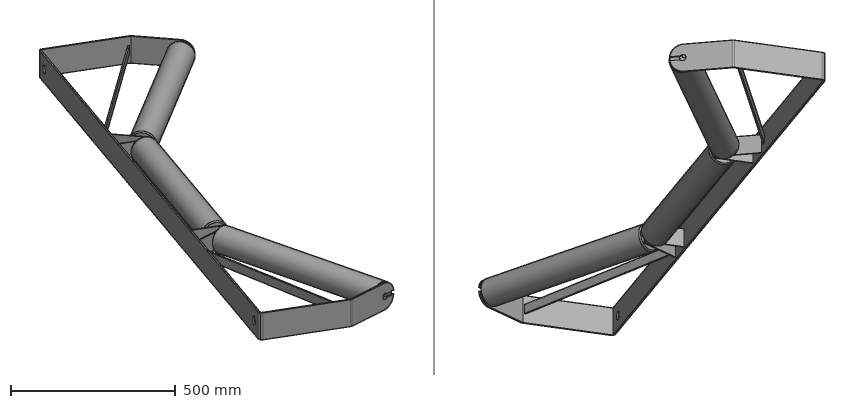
import cadquery as cq
import math

frame_width = 2000.0
frame_depth = 467.45
strip_height = 90.0
strip_thickness = 6.0
bend_radius = 12.0
lean = 30.0
knee_y = 296.0

roller_diameter = 89.0
roller_length = 644.0
roller_chamfer = 4.0
shaft_diameter = 20.0
end_gap = 3.0

side_seat = 157.0
center_axis_y = 99.5
roller_overhang = 5.84
lowest_z = -strip_height / 2 - roller_overhang
inner_axis_z = lowest_z + roller_diameter / 2

bracket_height = 60.0
bracket_thickness = 4.0
bracket_top_y = 129.0

brace_height = 30.0
brace_thickness = 5.0
brace_top_y = 290.0
brace_foot_x = 424.0

arm_slot_width = 13.0
mount_slot_x = 950.0
mount_slot_width = 20.0
mount_slot_height = 28.0

half_width = frame_width / 2
sin_lean = math.sin(math.radians(lean))
cos_lean = math.cos(math.radians(lean))
tip_radius = strip_height / 2
tip_loss = tip_radius - math.sqrt(tip_radius ** 2 - (arm_slot_width / 2) ** 2)
arm_length = (frame_depth - knee_y) / cos_lean + tip_loss
arm_to_tube = strip_thickness + end_gap
bracket_to_tube = bracket_thickness + end_gap
side_shaft_length = arm_to_tube + roller_length + bracket_to_tube
bracket_inner_x = roller_length / 2 + end_gap
side_drop = math.degrees(math.asin(-inner_axis_z / side_shaft_length))


def beside_arm(inset, along):
    """Plan point a distance in from the left arm's outer face and a distance along it from the knee."""
    x = -half_width + inset * cos_lean + along * sin_lean
    y = knee_y - inset * sin_lean + along * cos_lean
    return x, y


def beside_arm_at(inset, y):
    """Plan point at a given y on the line parallel to the left arm, a distance in from its outer face."""
    along = (y - knee_y + inset * sin_lean) / cos_lean
    return beside_arm(inset, along)


def on_edge(outline, height):
    """Bar standing on edge: a plan outline given height, half above and half below z = 0."""
    return cq.Workplane("XY").polyline(outline).close().extrude(height / 2, both=True)


def mirrored(body):
    """Copy of a left-hand body on the right-hand side."""
    return body.mirror("YZ")


def make_roller(outer_stub, inner_stub):
    """Roller along X with its tube starting at x = 0 and a shaft stub standing out at each end."""
    tube = cq.Workplane("YZ").circle(roller_diameter / 2).extrude(roller_length)
    tube = tube.faces("<X or >X").chamfer(roller_chamfer)
    shaft = cq.Workplane("YZ").workplane(offset=-outer_stub).circle(shaft_diameter / 2)
    return tube.union(shaft.extrude(outer_stub + roller_length + inner_stub))


def make_center_roller():
    roller = make_roller(bracket_to_tube, bracket_to_tube)
    return roller.translate((-roller_length / 2, center_axis_y, inner_axis_z))


def make_left_roller():
    """Side roller square to the arm, dropping towards the inner bracket."""
    seat_x, seat_y = beside_arm(0, side_seat)
    roller = make_roller(arm_to_tube, bracket_to_tube).translate((arm_to_tube, 0, 0))
    roller = roller.rotate((0, 0, 0), (0, 1, 0), side_drop)
    roller = roller.rotate((0, 0, 0), (0, 0, 1), -lean)
    return roller.translate((seat_x, seat_y, 0))


def on_arm(along):
    """Workplane on the left arm's outer face: x runs up the arm, the normal points inward."""
    plane = cq.Plane(origin=(-half_width, knee_y, 0), xDir=(sin_lean, cos_lean, 0),
                     normal=(cos_lean, -sin_lean, 0))
    return cq.Workplane(plane).center(along, 0)


def make_bent_strip():
    """Left half of the frame strip with its outer bends rounded."""
    t = strip_thickness
    inner_knee_y = knee_y - t * math.tan(math.radians(lean / 2))
    outline = [(0, 0), (-half_width, 0), (-half_width, knee_y),
               beside_arm(0, arm_length), beside_arm(t, arm_length),
               (-half_width + t, inner_knee_y), (-half_width + t, t), (0, t)]
    bent = on_edge(outline, strip_height)
    for bend_y in (0, knee_y):
        bend = cq.selectors.NearestToPointSelector((-half_width, bend_y, 0))
        bent = bent.edges("|Z").edges(bend).fillet(bend_radius)
    return bent


def arm_tip_waste():
    """Material outside the arm's fully rounded tip."""
    square_tip = on_arm(arm_length - tip_radius / 2).rect(tip_radius, strip_height).extrude(strip_thickness)
    return square_tip.cut(on_arm(arm_length - tip_radius).circle(tip_radius).extrude(strip_thickness))


def arm_slot():
    """Slot from the roller seat out through the arm tip."""
    length = arm_length - side_seat
    return on_arm(side_seat + length / 2).rect(length, arm_slot_width).extrude(strip_thickness)


def mount_slot():
    slot = cq.Workplane("XZ").center(-mount_slot_x, 0).slot2D(mount_slot_height, mount_slot_width, 90)
    return slot.extrude(-strip_thickness)


def make_frame(side_roller):
    half = make_bent_strip().cut(arm_tip_waste()).cut(arm_slot()).cut(mount_slot()).cut(side_roller)
    return half.union(mirrored(half))


def make_left_bracket(side_roller, middle_roller):
    """Folded bracket standing on the base, with holes for both shaft ends."""
    t = bracket_thickness
    foot_y = strip_thickness
    upright_x = -bracket_inner_x
    outer = side_shaft_length
    outline = [beside_arm_at(outer - t, foot_y), beside_arm_at(outer - t, bracket_top_y),
               (upright_x, bracket_top_y), (upright_x, foot_y),
               (upright_x - t, foot_y), (upright_x - t, bracket_top_y - t),
               beside_arm_at(outer, bracket_top_y - t), beside_arm_at(outer, foot_y)]
    folded = on_edge(outline, bracket_height).translate((0, 0, inner_axis_z))
    return folded.cut(side_roller).cut(middle_roller)


def make_left_brace():
    """Flat bar whose ends are cut to lie against the upright and the base."""
    top_x = -half_width + strip_thickness
    foot_y = strip_thickness
    run = -brace_foot_x - top_x
    rise = brace_top_y - foot_y
    length = math.hypot(run, rise)
    outline = [(top_x, brace_top_y), (-brace_foot_x, foot_y),
               (-brace_foot_x - brace_thickness * length / rise, foot_y),
               (top_x, brace_top_y - brace_thickness * length / run)]
    return on_edge(outline, brace_height)


center_roller = make_center_roller()
left_roller = make_left_roller()
frame = make_frame(left_roller)
left_bracket = make_left_bracket(left_roller, center_roller)
left_brace = make_left_brace()

bodies = [frame.val(), center_roller.val()]
for left_body in (left_roller, left_bracket, left_brace):
    bodies.append(left_body.val())
    bodies.append(mirrored(left_body).val())

result = cq.Compound.makeCompound(bodies)